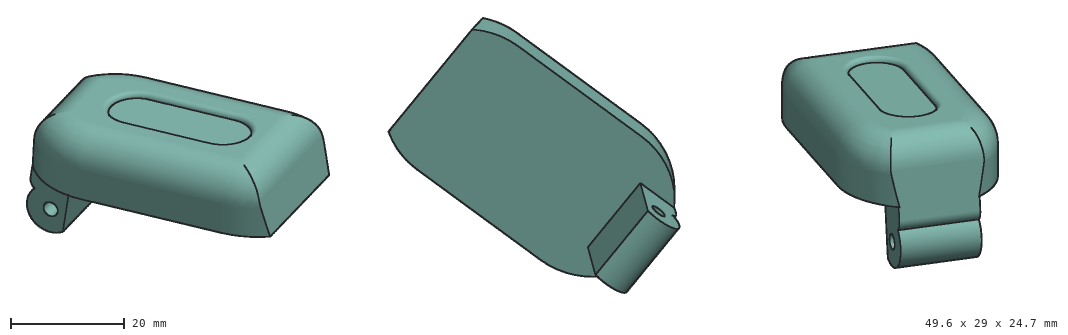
import cadquery as cq
import math


cap_width = 29.0
cap_height = 12.0
edge_radius = 6.0
side_start_x = 9.2
side_end_x = 36.65
end_arc_radius = 15.0
front_lean = 8.0
front_roll_x = 3.3
rear_x = 44.95
rear_lean = 13.4

recess_center_x = 21.6
recess_length = 28.75
recess_width = 12.0
recess_depth = 1.0
lip_radius = recess_depth

lug_width = 15.1
pin_z = -8.0
knuckle_radius = 4.65
pin_hole_diameter = 2.8
lug_back_x = 4.05
heel_z = -2.85
heel_radius = 2.25

front_slope = math.tan(math.radians(front_lean))
rear_slope = math.tan(math.radians(rear_lean))
arc_axis_y = cap_width / 2 - end_arc_radius
roll_z = cap_height - edge_radius
front_x = front_roll_x - edge_radius / math.cos(math.radians(front_lean)) - roll_z * front_slope
rear_roll_x = rear_x - edge_radius / math.cos(math.radians(rear_lean)) - roll_z * rear_slope


def on_roll(center_x, angle):
    """Point on an end rounding, with the angle in degrees measured from +X."""
    turn = math.radians(angle)
    return (center_x + edge_radius * math.cos(turn), roll_z + edge_radius * math.sin(turn))


def extrude_across(sketch, width):
    return sketch.extrude(width / 2, both=True)


def make_side_section(x):
    """Section of one cap half at X, from the end arc axis out to the rounded side."""
    diagonal = edge_radius * math.sqrt(0.5)
    return (
        cq.Workplane("YZ", origin=(x, arc_axis_y, 0))
        .lineTo(end_arc_radius, 0)
        .lineTo(end_arc_radius, roll_z)
        .threePointArc(
            (end_arc_radius - edge_radius + diagonal, roll_z + diagonal),
            (end_arc_radius - edge_radius, cap_height),
        )
        .lineTo(0, cap_height)
        .close()
    )


def make_rounded_bar():
    """Straight rounded sides that sweep inward along an arc at both ends."""
    middle = make_side_section(side_start_x).extrude(side_end_x - side_start_x)
    front = make_side_section(side_start_x).revolve(90, (0, 0, 0), (0, 1, 0))
    rear = make_side_section(side_end_x).revolve(90, (0, 0, 0), (0, -1, 0))
    half_zone = cq.Workplane("XY").box(
        2 * (rear_x - front_x), cap_width, cap_height, centered=(True, False, False)
    ).translate(((front_x + rear_x) / 2, 0, 0))
    half_bar = middle.union(front).union(rear).intersect(half_zone)
    return half_bar.union(half_bar.mirror("XZ")).clean()


def make_end_profile():
    """Side profile with leaning ends rolled over into the flat top."""
    profile = (
        cq.Workplane("XZ")
        .moveTo(front_x, 0)
        .lineTo(*on_roll(front_roll_x, 180 - front_lean))
        .threePointArc(on_roll(front_roll_x, 135), (front_roll_x, cap_height))
        .lineTo(rear_roll_x, cap_height)
        .threePointArc(on_roll(rear_roll_x, 45), on_roll(rear_roll_x, rear_lean))
        .lineTo(rear_x, 0)
        .close()
    )
    return extrude_across(profile, cap_width)


def cut_recess(cap):
    """Shallow slot whose walls are entirely a convex lip."""
    floor_length = recess_length - 2 * lip_radius
    floor_width = recess_width - 2 * lip_radius
    slot = (
        cq.Workplane("XY", origin=(recess_center_x, 0, cap_height))
        .slot2D(floor_length, floor_width)
        .extrude(-2 * recess_depth)
    )
    lipped = cap.cut(slot).faces(">Z").edges(
        cq.selectors.BoxSelector(
            (recess_center_x - recess_length / 2, -recess_width / 2, cap_height - lip_radius / 2),
            (recess_center_x + recess_length / 2, recess_width / 2, cap_height + lip_radius / 2),
        )
    ).fillet(lip_radius)
    refill = slot.translate((0, 0, -recess_depth))
    return lipped.union(refill)


def make_lug():
    """Leaning plate with a rounded heel above the hinge knuckle."""
    heel_x = front_x + heel_z * front_slope + heel_radius / math.cos(math.radians(front_lean))
    lean = math.radians(front_lean)
    heel_start = (heel_x - heel_radius * math.cos(lean), heel_z + heel_radius * math.sin(lean))
    back_bottom_z = pin_z - knuckle_radius
    back_bottom_x = lug_back_x + back_bottom_z * front_slope
    plate = extrude_across(
        cq.Workplane("XZ").polyline([
            (front_x, 0),
            heel_start,
            (heel_x, heel_z),
            (0, pin_z),
            (back_bottom_x, back_bottom_z),
            (lug_back_x, 0),
        ]).close(),
        lug_width,
    )
    heel = extrude_across(cq.Workplane("XZ").center(heel_x, heel_z).circle(heel_radius), lug_width)
    knuckle = extrude_across(cq.Workplane("XZ").center(0, pin_z).circle(knuckle_radius), lug_width)
    knuckle_zone = extrude_across(
        cq.Workplane("XZ").polyline([
            (-knuckle_radius, 0),
            (-knuckle_radius, back_bottom_z),
            (back_bottom_x, back_bottom_z),
            (lug_back_x, 0),
        ]).close(),
        lug_width,
    )
    below_pin = cq.Workplane("XY").box(
        4 * knuckle_radius, lug_width, knuckle_radius, centered=(True, True, False)
    ).translate((0, 0, back_bottom_z))
    plate = plate.cut(below_pin)
    pin_hole = extrude_across(
        cq.Workplane("XZ").center(0, pin_z).circle(pin_hole_diameter / 2), lug_width
    )
    return plate.union(heel).union(knuckle.intersect(knuckle_zone)).cut(pin_hole)


cap = cut_recess(make_rounded_bar().intersect(make_end_profile()))
result = cap.union(make_lug())